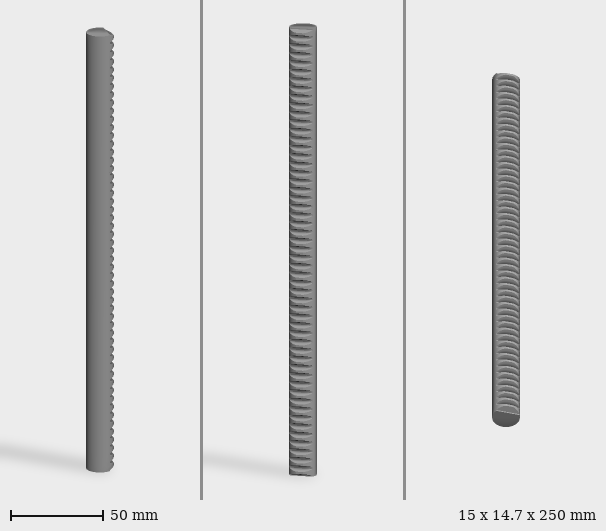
import cadquery as cq
import math

bar_length = 250.0
bar_radius = 7.5

module = 1.5
pressure_angle = math.radians(20)
tooth_count = 53
tip_y = 7.2
dedendum_factor = 1.25

pitch = math.pi * module
addendum = module
dedendum = dedendum_factor * module
root_y = tip_y - addendum - dedendum

tip_width = pitch / 2 - 2 * addendum * math.tan(pressure_angle)
root_width = pitch / 2 + 2 * dedendum * math.tan(pressure_angle)

first_tooth_z = (bar_length - (tooth_count - 1) * pitch) / 2


def tooth_points(center_z):
    """Corners (y, z) of one tooth, from its lower root to its upper root."""
    return [
        (root_y, center_z - root_width / 2),
        (tip_y, center_z - tip_width / 2),
        (tip_y, center_z + tip_width / 2),
        (root_y, center_z + root_width / 2),
    ]


def make_rack():
    """Block as wide as the bar, with the toothed outline running along +Y."""
    outline = [(-bar_radius, 0), (root_y, 0)]
    for index in range(tooth_count):
        outline += tooth_points(first_tooth_z + index * pitch)
    outline += [(root_y, bar_length), (-bar_radius, bar_length)]
    return cq.Workplane("YZ").polyline(outline).close().extrude(bar_radius, both=True)


bar = cq.Workplane("XY").circle(bar_radius).extrude(bar_length)
result = bar.intersect(make_rack())